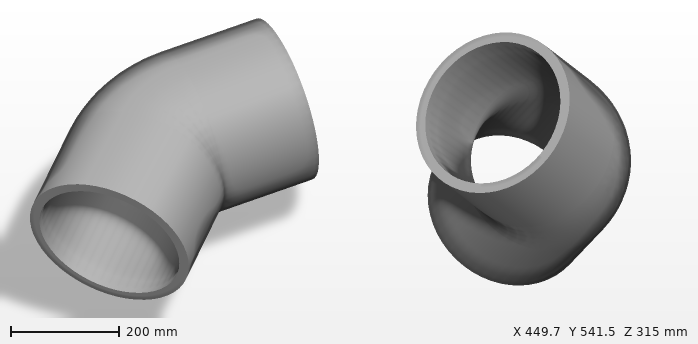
import cadquery as cq
import math

overall_length = 541.5
outer_radius = 157.5
wall = 19.0
bend_angle = 45.0
second_stub_length = 190.5

inner_radius = outer_radius - wall
bend_radius = outer_radius
angle = math.radians(bend_angle)

outer_bend_radius = bend_radius + outer_radius
reach = outer_bend_radius * math.sin(angle) + second_stub_length * math.cos(angle)
first_stub_length = overall_length - reach


def pipe_ring(plane):
    """Pipe cross-section centred on the origin of the given plane."""
    return cq.Workplane(plane).circle(outer_radius).circle(inner_radius)


bend_start = cq.Plane(origin=(0, 0, 0), xDir=(1, 0, 0), normal=(0, 1, 0))
first_stub = pipe_ring(bend_start).extrude(-first_stub_length)

bend = pipe_ring(bend_start).revolve(bend_angle, (bend_radius, 0), (bend_radius, 1))

bend_end = cq.Plane(
    origin=(bend_radius * (1 - math.cos(angle)), bend_radius * math.sin(angle), 0),
    xDir=(0, 0, 1),
    normal=(math.sin(angle), math.cos(angle), 0),
)
second_stub = pipe_ring(bend_end).extrude(second_stub_length)

result = first_stub.union(bend).union(second_stub)